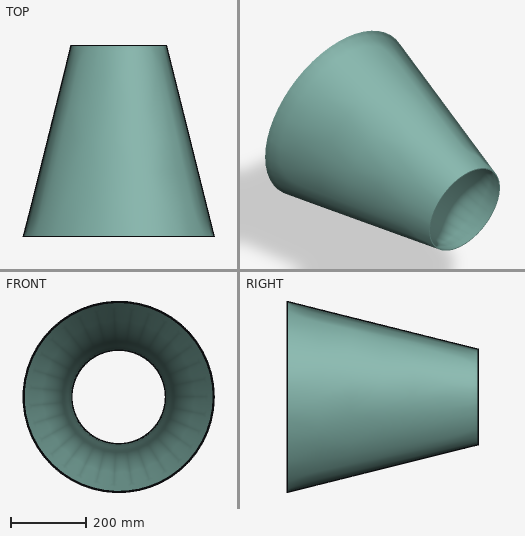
import cadquery as cq

wide_diameter = 508.0
narrow_diameter = 254.0
length = 508.0
wall = 3.0

wide_radius = wide_diameter / 2
narrow_radius = narrow_diameter / 2


def conical_shell():
    """Revolve the sloping wall section about the Y axis."""
    wall_section = (
        cq.Workplane("XY")
        .moveTo(wide_radius - wall, 0)
        .lineTo(wide_radius, 0)
        .lineTo(narrow_radius, length)
        .lineTo(narrow_radius - wall, length)
        .close()
    )
    return wall_section.revolve(360, (0, 0, 0), (0, 1, 0))


result = conical_shell()